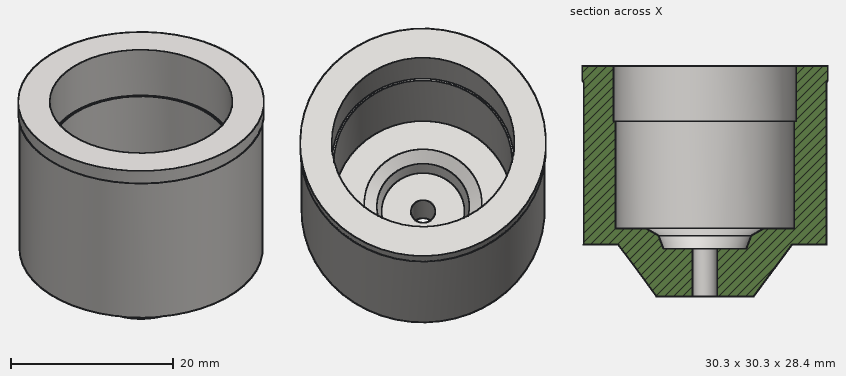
import math

import cadquery as cq

flange_radius = 15.15
body_radius = 15.0
flange_height = 2.0
body_height = 22.0
total_height = 28.4
flange_chamfer = flange_radius - body_radius

nose_top_radius = 10.75
nose_tip_radius = 6.0

upper_bore_radius = 11.25
lower_bore_radius = 11.0
upper_bore_depth = 6.8
bore_floor_thickness = 2.0

funnel_mouth_radius = 7.25
funnel_throat_radius = 5.7
funnel_slope_angle = 30.0
chamber_floor_radius = 5.1
chamber_depth = 1.6
outlet_radius = 1.5

body_bottom_z = total_height - body_height
flange_bottom_z = total_height - flange_height
bore_step_z = total_height - upper_bore_depth
bore_floor_z = body_bottom_z + bore_floor_thickness
funnel_depth = (funnel_mouth_radius - funnel_throat_radius) * math.tan(math.radians(funnel_slope_angle))
throat_z = bore_floor_z - funnel_depth
chamber_floor_z = throat_z - chamber_depth


def make_outer_body():
    """Revolve the flange, cylinder and conical nose about Z."""
    return (
        cq.Workplane("YZ")
        .lineTo(nose_tip_radius, 0)
        .lineTo(nose_top_radius, body_bottom_z)
        .lineTo(body_radius, body_bottom_z)
        .lineTo(body_radius, flange_bottom_z)
        .lineTo(flange_radius, flange_bottom_z + flange_chamfer)
        .lineTo(flange_radius, total_height)
        .lineTo(0, total_height)
        .close()
        .revolve()
    )


def make_cavity():
    """Revolve the stepped bore, funnel, tapered chamber and outlet hole."""
    return (
        cq.Workplane("YZ")
        .lineTo(outlet_radius, 0)
        .lineTo(outlet_radius, chamber_floor_z)
        .lineTo(chamber_floor_radius, chamber_floor_z)
        .lineTo(funnel_throat_radius, throat_z)
        .lineTo(funnel_mouth_radius, bore_floor_z)
        .lineTo(lower_bore_radius, bore_floor_z)
        .lineTo(lower_bore_radius, bore_step_z)
        .lineTo(upper_bore_radius, bore_step_z)
        .lineTo(upper_bore_radius, total_height)
        .lineTo(0, total_height)
        .close()
        .revolve()
    )


result = make_outer_body().cut(make_cavity())